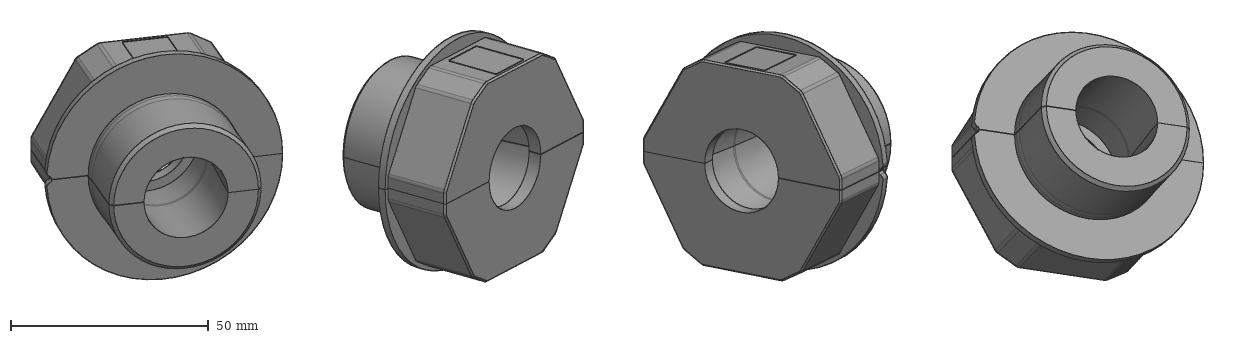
import cadquery as cq
import math

HEX_LENGTH = 18.0
FLANGE_THICKNESS = 2.1
TOTAL_LENGTH = 40.0
COLLAR_END = 21.45
COLLAR_TAPER_END = 23.2

HEX_SIDES = 6
HEX_APOTHEM = 27.4
CORNER_APOTHEM = 29.7
HEX_EDGE_FILLET = 2.0
FRONT_CHAMFER_AXIAL = 0.55
FRONT_CHAMFER_RADIAL = 0.45

FLANGE_RADIUS = 31.0
SPIGOT_DIAMETER = 40.0
SPIGOT_RADIUS = SPIGOT_DIAMETER / 2
COLLAR_STEP = 0.1
COLLAR_RADIUS = SPIGOT_RADIUS + COLLAR_STEP
SPIGOT_CHAMFER = 1.0

MOUTH_RADIUS = 11.05
MOUTH_DEPTH = 3.65
CHAMBER_RADIUS = 13.65
THROAT_RADIUS = 12.35
THROAT_START = 15.7
THROAT_END = 16.3
OUTLET_RADIUS = MOUTH_RADIUS

NOTCH_RADIUS = 0.8
NOTCH_FLOOR = 29.65
NOTCH_LIP_FILLET = 1.4

LABEL_LENGTH = 15.0
LABEL_WIDTH = 12.0
LABEL_DEPTH = 0.2
LABEL_CORNER_RADIUS = 0.4

SLIT_WIDTH = 0.1


def hexagon_prism(apothem):
    """Regular hexagonal prism along X with flats facing +Z and -Z."""
    across_corners = 2 * apothem / math.cos(math.pi / HEX_SIDES)
    return cq.Workplane("YZ").polygon(HEX_SIDES, across_corners).extrude(HEX_LENGTH)


def revolve_about_x(profile):
    """Solid of revolution from (x, radius) points."""
    return cq.Workplane("XY").polyline(profile).close().revolve(360, (0, 0, 0), (1, 0, 0))


def hex_head():
    corner_cutter = hexagon_prism(CORNER_APOTHEM).rotate((0, 0, 0), (1, 0, 0), 180 / HEX_SIDES)
    head = hexagon_prism(HEX_APOTHEM).intersect(corner_cutter)
    head = head.edges("|X").fillet(HEX_EDGE_FILLET)
    return head.faces("<X").chamfer(FRONT_CHAMFER_RADIAL, FRONT_CHAMFER_AXIAL)


def flange():
    back_of_head = cq.Workplane("YZ", origin=(HEX_LENGTH, 0, 0))
    disc = back_of_head.circle(FLANGE_RADIUS).extrude(FLANGE_THICKNESS)
    notch_centre_y = -(NOTCH_FLOOR + NOTCH_RADIUS)
    notch = back_of_head.center(notch_centre_y, 0).circle(NOTCH_RADIUS).extrude(FLANGE_THICKNESS)
    return disc.cut(notch).edges("|X").edges("<Y").fillet(NOTCH_LIP_FILLET)


def spigot():
    profile = [
        (HEX_LENGTH, 0),
        (HEX_LENGTH, COLLAR_RADIUS),
        (COLLAR_END, COLLAR_RADIUS),
        (COLLAR_TAPER_END, SPIGOT_RADIUS),
        (TOTAL_LENGTH - SPIGOT_CHAMFER, SPIGOT_RADIUS),
        (TOTAL_LENGTH, SPIGOT_RADIUS - SPIGOT_CHAMFER),
        (TOTAL_LENGTH, 0),
    ]
    return revolve_about_x(profile)


def bore():
    profile = [
        (0, 0),
        (0, MOUTH_RADIUS),
        (MOUTH_DEPTH, MOUTH_RADIUS),
        (MOUTH_DEPTH, CHAMBER_RADIUS),
        (THROAT_START, THROAT_RADIUS),
        (THROAT_END, THROAT_RADIUS),
        (TOTAL_LENGTH, OUTLET_RADIUS),
        (TOTAL_LENGTH, 0),
    ]
    return revolve_about_x(profile)


def label_recess():
    return (
        cq.Workplane("XY", origin=(HEX_LENGTH / 2, 0, HEX_APOTHEM - LABEL_DEPTH))
        .rect(LABEL_LENGTH, LABEL_WIDTH)
        .extrude(LABEL_DEPTH)
        .edges("|Z")
        .fillet(LABEL_CORNER_RADIUS)
    )


def slit():
    block = cq.Workplane("XY").box(TOTAL_LENGTH, FLANGE_RADIUS, SLIT_WIDTH, centered=(False, False, True))
    return block.translate((0, -FLANGE_RADIUS, 0))


def half_space(side):
    """Block covering everything above (side = 1) or below (side = -1) the parting plane."""
    block = cq.Workplane("XY").box(TOTAL_LENGTH, 2 * FLANGE_RADIUS, FLANGE_RADIUS, centered=(False, True, True))
    return block.translate((0, 0, side * FLANGE_RADIUS / 2))


def bushing():
    """The whole bushing, before it is parted into halves."""
    return hex_head().union(flange()).union(spigot()).cut(bore()).cut(slit())


def upper_half():
    return bushing().intersect(half_space(1)).cut(label_recess())


def lower_half():
    return bushing().intersect(half_space(-1))


upper = upper_half().solids()
lower = lower_half().solids()

result = cq.Compound.makeCompound([upper.val(), lower.val()])